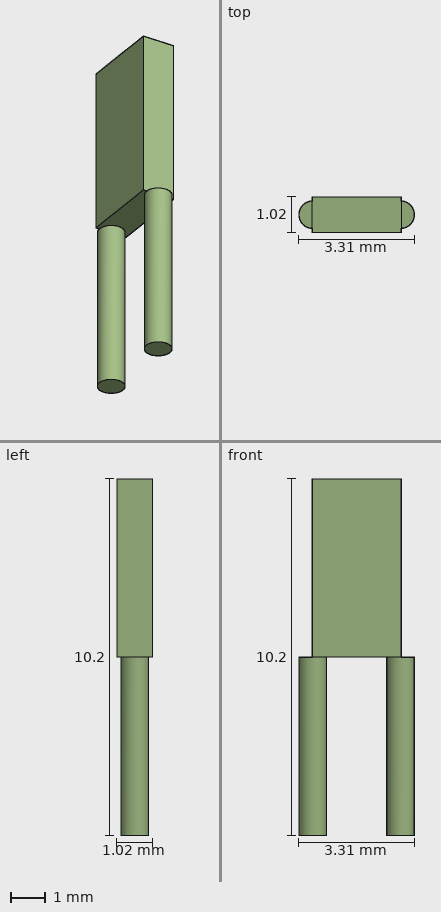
import cadquery as cq

total_height = 10.2
body_width = 2.55
body_depth = 1.02
body_height = total_height / 2
lead_diameter = 0.8
lead_spacing = 2.51
lead_length = total_height - body_height


def make_body():
    """Plain block resting on the top faces of the leads."""
    return (
        cq.Workplane("XY")
        .workplane(offset=lead_length)
        .rect(body_width, body_depth)
        .extrude(body_height)
    )


def make_lead(x_center):
    """Straight round lead whose top face touches the underside of the body."""
    return (
        cq.Workplane("XY")
        .center(x_center, 0)
        .circle(lead_diameter / 2)
        .extrude(lead_length)
    )


body = make_body()
leads = [make_lead(side * lead_spacing / 2) for side in (-1, 1)]

result = cq.Compound.makeCompound([body.val(), *[lead.val() for lead in leads]])